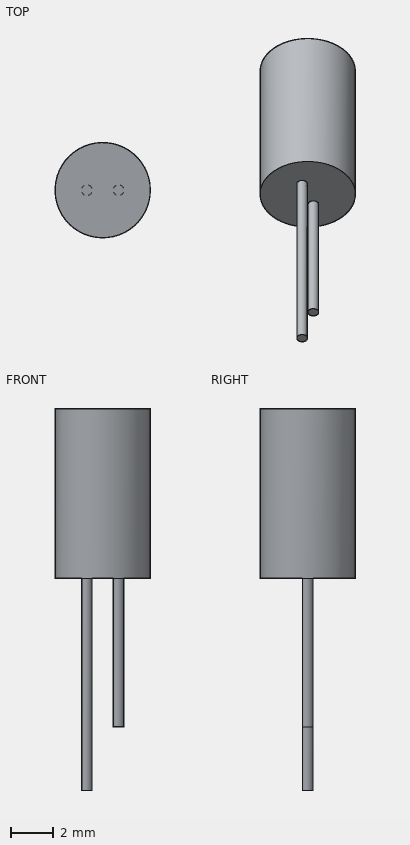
import cadquery as cq

OVERALL_HEIGHT = 18.0
CAN_DIAMETER = 4.5
CAN_HEIGHT = 8.0
LEAD_DIAMETER = 0.5
LEAD_PITCH = 1.5
SHORT_LEAD_LENGTH = 7.0

LONG_LEAD_LENGTH = OVERALL_HEIGHT - CAN_HEIGHT


def make_can():
    """Plain cylindrical can standing on Z = 0."""
    return cq.Workplane("XY").circle(CAN_DIAMETER / 2).extrude(CAN_HEIGHT)


def make_lead(x, length):
    """Round lead hanging from the can's underside at the given X."""
    return cq.Workplane("XY").center(x, 0).circle(LEAD_DIAMETER / 2).extrude(-length)


can = make_can()

lead_layout = [
    (-LEAD_PITCH / 2, LONG_LEAD_LENGTH),
    (LEAD_PITCH / 2, SHORT_LEAD_LENGTH),
]
leads = [make_lead(x, length) for x, length in lead_layout]

result = cq.Compound.makeCompound([can.val(), *[lead.val() for lead in leads]])